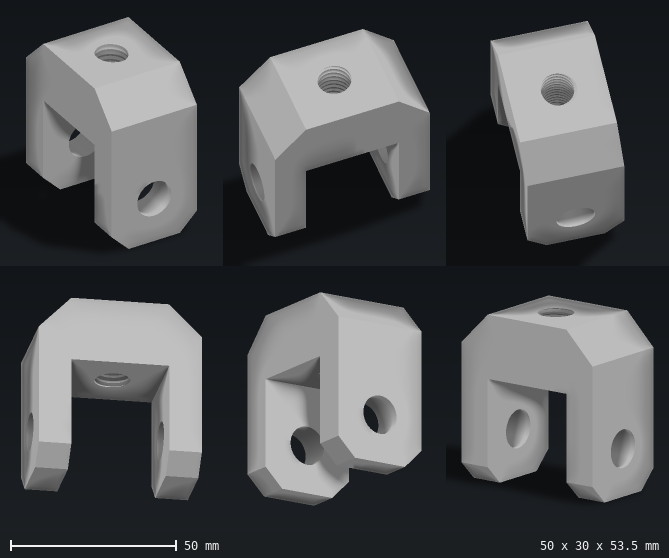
import cadquery as cq
import math

width = 50.0
depth = 30.0
height = 53.5
leg_thickness = 10.0
web_thickness = 2 * leg_thickness
shoulder_chamfer = leg_thickness
foot_chamfer = 6.0

pin_diameter = 12.0
pin_height = 15.0

bore_diameter = 10.25
groove_root_diameter = 12.4
groove_mouth = 1.2
thread_pitch = 1.75
groove_exit_angle = 50.0
bore_overlap = 0.1
spare_turns = 1

slot_width = width - 2 * leg_thickness
slot_height = height - web_thickness


def make_body():
    """Block with chamfered shoulders and feet, slotted to leave two legs."""
    body = cq.Workplane("XY").box(width, depth, height, centered=(True, True, False))
    body = body.faces(">Z").edges("|Y").chamfer(shoulder_chamfer)
    body = body.faces("<Z").edges("|X").chamfer(foot_chamfer)
    slot = cq.Workplane("XY").box(slot_width, depth, slot_height, centered=(True, True, False))
    return body.cut(slot)


def make_pin_hole():
    """Cylinder along x that crosses both legs."""
    hole = cq.Workplane("YZ").center(0, pin_height).circle(pin_diameter / 2)
    return hole.extrude(width / 2, both=True)


def make_bore():
    """Cylinder through the web at the minor diameter of the thread."""
    bore = cq.Workplane("XY").workplane(offset=slot_height).circle(bore_diameter / 2)
    return bore.extrude(web_thickness)


def make_thread_groove():
    """V-shaped groove swept along a right-handed helix past both ends of the bore."""
    bore_radius = bore_diameter / 2
    root_radius = groove_root_diameter / 2
    inner_radius = bore_radius - bore_overlap
    groove_depth = root_radius - bore_radius
    inner_half_mouth = groove_mouth / 2 * (groove_depth + bore_overlap) / groove_depth

    turns_below_top = math.ceil(web_thickness / thread_pitch) + spare_turns
    start_z = height - turns_below_top * thread_pitch
    length = (turns_below_top + spare_turns) * thread_pitch

    helix = cq.Wire.makeHelix(thread_pitch, length, inner_radius)
    profile = cq.Workplane("XZ").polyline(
        [(inner_radius, -inner_half_mouth), (root_radius, 0), (inner_radius, inner_half_mouth)]
    ).close()
    groove = profile.sweep(cq.Workplane(obj=helix), isFrenet=True)
    return groove.rotate((0, 0, 0), (0, 0, 1), groove_exit_angle).translate((0, 0, start_z))


result = make_body().cut(make_pin_hole()).cut(make_thread_groove()).cut(make_bore())